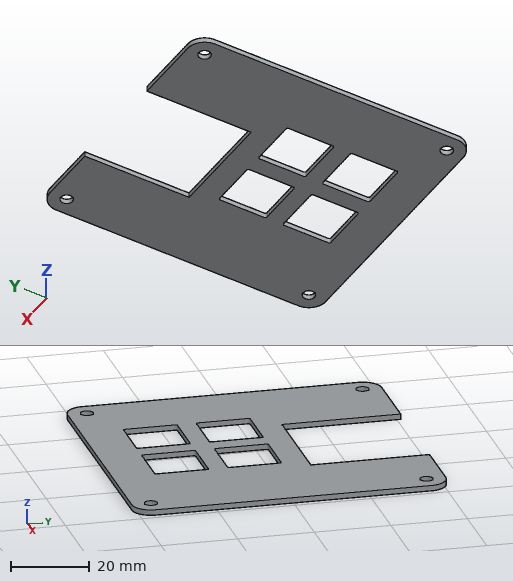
import cadquery as cq

plate_width = 76.8
plate_length = 82.0
plate_thickness = 1.5
corner_radius = 5.0

hole_diameter = 3.4
hole_inset = corner_radius

notch_width = 30.0
notch_depth = 31.0
notch_center_x = 1.5

key_count = 2
key_size = 14.0
key_corner_radius = 0.5
key_pitch = 19.0
key_grid_center = (-3.3, -13.4)


def make_plate():
    """Flat plate with four rounded corners."""
    plate = cq.Workplane("XY").box(
        plate_width, plate_length, plate_thickness, centered=(True, True, False)
    )
    return plate.edges("|Z").fillet(corner_radius)


def make_mounting_holes():
    """Cutters for the four corner holes."""
    spacing_x = plate_width - 2 * hole_inset
    spacing_y = plate_length - 2 * hole_inset
    return (
        cq.Workplane("XY")
        .rarray(spacing_x, spacing_y, 2, 2)
        .circle(hole_diameter / 2)
        .extrude(plate_thickness)
    )


def make_notch():
    """Cutter for the notch in the +Y edge."""
    notch_center_y = (plate_length - notch_depth) / 2
    return (
        cq.Workplane("XY")
        .center(notch_center_x, notch_center_y)
        .rect(notch_width, notch_depth)
        .extrude(plate_thickness)
    )


def make_key_openings():
    """Cutters for the square openings with slightly rounded corners."""
    return (
        cq.Workplane("XY")
        .center(*key_grid_center)
        .rarray(key_pitch, key_pitch, key_count, key_count)
        .rect(key_size, key_size)
        .extrude(plate_thickness)
        .edges("|Z")
        .fillet(key_corner_radius)
    )


result = (
    make_plate()
    .cut(make_mounting_holes())
    .cut(make_notch())
    .cut(make_key_openings())
)